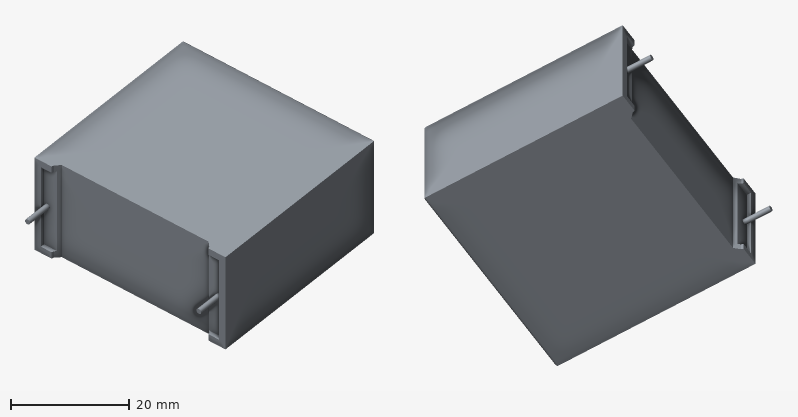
import cadquery as cq
housing_width = 41.8
housing_length = 40.1
housing_height = 20.3
back_edge_radius = 0.5

foot_width = 3.75
relief_depth = 1.4
lower_flank_run = 0.15
upper_flank_rise = 0.95

recess_margin = 1.4
recess_depth = 0.85

pin_pitch = 37.5
pin_diameter = 1.05
pin_projection = 4.5

half_width = housing_width / 2
foot_inner_x = half_width - foot_width
flank_bend_x = foot_inner_x - lower_flank_run
flank_bend_y = relief_depth - upper_flank_rise
relief_inner_x = flank_bend_x - upper_flank_rise


def make_block():
    """Plain block with the relief across its -Y side and a rounded +Y face."""
    outline = [
        (-half_width, 0),
        (-foot_inner_x, 0),
        (-flank_bend_x, flank_bend_y),
        (-relief_inner_x, relief_depth),
        (relief_inner_x, relief_depth),
        (flank_bend_x, flank_bend_y),
        (foot_inner_x, 0),
        (half_width, 0),
        (half_width, housing_length),
        (-half_width, housing_length),
    ]
    block = cq.Workplane("XY").polyline(outline).close().extrude(housing_height / 2, both=True)
    return block.faces(">Y").edges().fillet(back_edge_radius)


def make_recess(side):
    """Cutting box for one foot; its inner part lies in the open relief."""
    outer_x = half_width - recess_margin
    width = outer_x - relief_inner_x
    height = housing_height - 2 * recess_margin
    box = cq.Workplane("XY").box(width, recess_depth, height, centered=(True, False, True))
    return box.translate((side * (outer_x - width / 2), 0, 0))


def make_housing():
    housing = make_block()
    for side in (-1, 1):
        housing = housing.cut(make_recess(side))
    return housing


def make_pin(side):
    """Round pin standing on the recess floor and pointing toward -Y."""
    pin_length = recess_depth + pin_projection
    pin = cq.Workplane("XZ").circle(pin_diameter / 2).extrude(pin_length)
    return pin.translate((side * pin_pitch / 2, recess_depth, 0))


housing = make_housing()
pins = [make_pin(side) for side in (-1, 1)]

result = cq.Compound.makeCompound([housing.val(), *[pin.val() for pin in pins]])